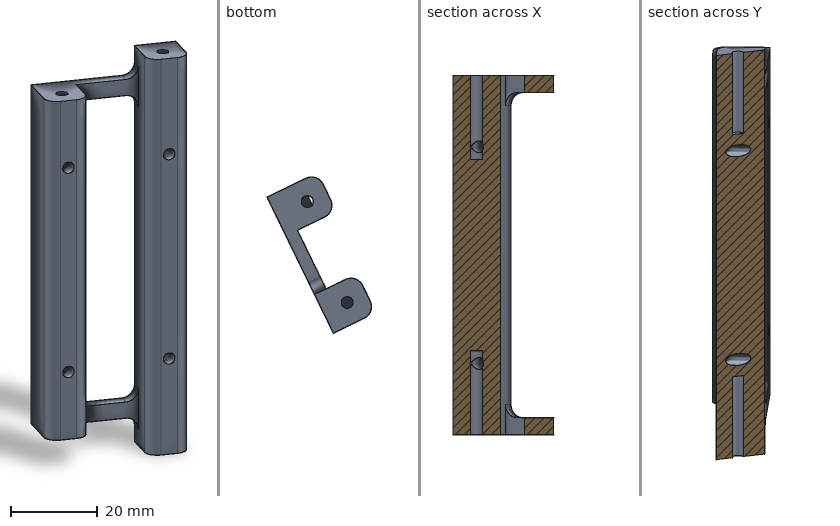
import cadquery as cq

length = 97.0
tilt = 26.0
block_width = 10.0
block_gap = 15.0
plate_thickness = 3.0
short_block_depth = 13.0
long_block_depth = 11.0
end_setback = 7.0
rail_height = 4.0
corner_radius = 3.0
hole_diameter = 2.7
short_end_hole_offset = 8.0
long_end_hole_offset = 6.0
end_hole_depth = 19.4
passage_flat_offset = 0.7
cross_hole_setback = 23.5

long_block_start = block_width + block_gap
web_height = length - 2 * end_setback
window_height = web_height - 2 * rail_height
short_block_middle = block_width / 2
long_block_middle = long_block_start + block_width / 2


def box(depth, start, width, height):
    """Box standing on the back face, centred in Z."""
    return cq.Workplane("XY").box(depth, width, height, centered=(False, False, True)).translate(
        (0, start, 0)
    )


def block(depth, start, height):
    """Block with its two outer vertical edges rounded."""
    return box(depth, start, block_width, height).edges("|Z and >X").fillet(corner_radius)


def web():
    """Plate between the blocks, with a rounded window."""
    plate = box(plate_thickness, block_width, block_gap, web_height)
    window = box(plate_thickness, block_width, block_gap, window_height)
    return plate.cut(window.edges("|X").fillet(corner_radius))


def web_root(side):
    """Concave fillet joining the web's end (side = 1 top, -1 bottom) to the long block."""
    web_end = side * web_height / 2
    root_start = long_block_start - corner_radius
    filler = box(plate_thickness, root_start, corner_radius, corner_radius).translate(
        (0, 0, web_end + side * corner_radius / 2)
    )
    scoop = (
        cq.Workplane("YZ")
        .center(root_start, web_end + side * corner_radius)
        .circle(corner_radius)
        .extrude(plate_thickness)
    )
    return filler.cut(scoop)


def end_hole(offset, middle, height, side):
    """Blind hole running inward from one end of a block."""
    return (
        cq.Workplane("XY", origin=(offset, middle, side * height / 2))
        .circle(hole_diameter / 2)
        .extrude(-side * end_hole_depth)
    )


def segment_passage():
    """D-shaped passage joining the short block's two end holes, flat towards the back face."""
    bore = (
        cq.Workplane("XY", origin=(short_end_hole_offset, short_block_middle, -web_height / 2))
        .circle(hole_diameter / 2)
        .extrude(web_height)
    )
    outer_side = box(short_block_depth, 0, block_width, web_height).translate(
        (short_end_hole_offset + passage_flat_offset, 0, 0)
    )
    return bore.intersect(outer_side)


def cross_hole(middle, side):
    """Hole through a block, square to the back face."""
    return (
        cq.Workplane("YZ")
        .center(middle, side * (length / 2 - cross_hole_setback))
        .circle(hole_diameter / 2)
        .extrude(short_block_depth)
    )


body = block(short_block_depth, 0, web_height)
body = body.union(block(long_block_depth, long_block_start, length)).union(web())

for side in (1, -1):
    body = body.union(web_root(side))

for side in (1, -1):
    body = body.cut(end_hole(short_end_hole_offset, short_block_middle, web_height, side))
    body = body.cut(end_hole(long_end_hole_offset, long_block_middle, length, side))
    for middle in (short_block_middle, long_block_middle):
        body = body.cut(cross_hole(middle, side))

body = body.cut(segment_passage())

result = body.rotate((0, 0, 0), (0, 0, 1), -tilt)